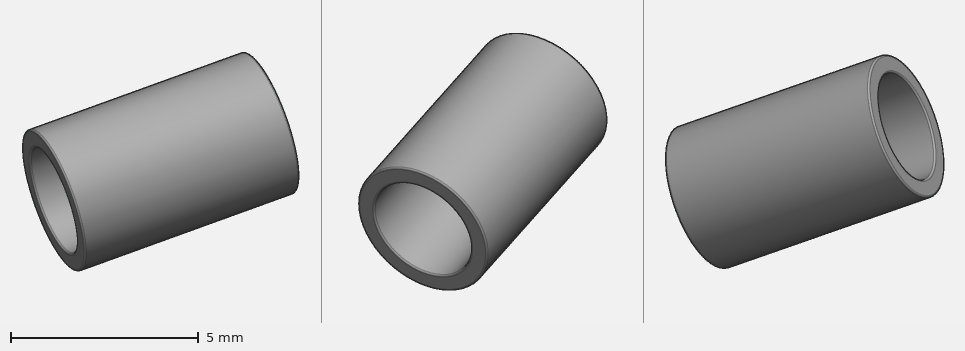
import cadquery as cq

length = 6.3
outer_diameter = 4.0
bore_diameter = 3.0
edge_radius = 0.05

sleeve = (
    cq.Workplane("XZ", origin=(0, length / 2, 0))
    .circle(outer_diameter / 2)
    .circle(bore_diameter / 2)
    .extrude(length)
)

result = sleeve.faces("<Y or >Y").edges().fillet(edge_radius)